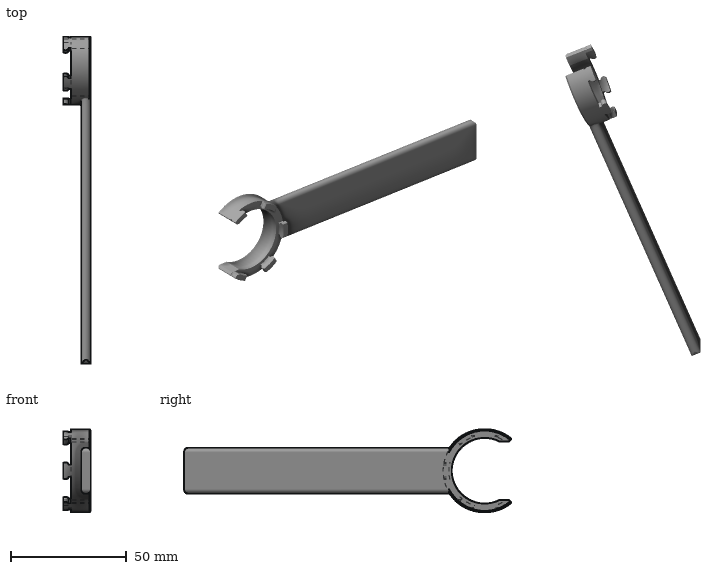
import cadquery as cq
import math

total_length = 141.4
total_depth = 12.0
outer_radius = 18.02

inner_radius = 14.1
ring_tip_y = 11.5
mouth_half_width = 12.6
ring_depth = 8.6
tip_chamfer = 1.0
back_chamfer = 0.7

tooth_inner_radius = 15.5
tooth_pitch = 60
tooth_count = 5
neck_half_width = 2.7
head_half_width = 3.7
tip_half_width = 3.3
head_peak_x = 1.1
head_end_x = 2.4

handle_thickness = 4.2
handle_half_width = 10.0
handle_root_y = -13.5
root_fillet = 0.4

ring_front_x = total_depth - ring_depth
handle_front_x = total_depth - handle_thickness
handle_end_y = ring_tip_y - total_length
handle_round = handle_thickness / 2


def disc(radius, start_x, depth):
    """Solid cylinder about the X axis."""
    return cq.Workplane("YZ", origin=(start_x, 0, 0)).circle(radius).extrude(depth)


def make_open_ring():
    """Full-depth C-shaped band with parallel flats at the mouth and chamfered tips."""
    band = disc(outer_radius, 0, total_depth).faces(">X").edges().chamfer(back_chamfer)
    band = band.cut(disc(inner_radius, 0, total_depth))
    mouth = cq.Workplane("XY").box(
        total_depth, outer_radius, 2 * mouth_half_width, centered=(False, False, True)
    )
    beyond_tips = cq.Workplane("XY", origin=(0, ring_tip_y, 0)).box(
        total_depth, outer_radius, 2 * outer_radius, centered=(False, False, True)
    )
    band = band.cut(mouth).cut(beyond_tips)
    for side in (-1, 1):
        corner = (total_depth / 2, ring_tip_y, side * mouth_half_width)
        band = band.edges(cq.selectors.NearestToPointSelector(corner)).chamfer(tip_chamfer)
    return band


def make_tooth(angle):
    """Round-headed tooth pointing to -X, turned about the ring axis from the handle side."""
    tooth = (
        cq.Workplane("XZ")
        .moveTo(0, -tip_half_width)
        .lineTo(0, tip_half_width)
        .threePointArc((head_peak_x, head_half_width), (head_end_x, neck_half_width))
        .lineTo(ring_front_x, neck_half_width)
        .lineTo(ring_front_x, -neck_half_width)
        .lineTo(head_end_x, -neck_half_width)
        .threePointArc((head_peak_x, -head_half_width), (0, -tip_half_width))
        .close().extrude(outer_radius)
    )
    return tooth.rotate((0, 0, 0), (1, 0, 0), angle)


def make_teeth(open_ring):
    """All teeth, trimmed to the outer part of the band."""
    tooth_zone = open_ring.cut(disc(tooth_inner_radius, 0, ring_front_x))
    first_angle = -tooth_pitch * (tooth_count - 1) / 2
    teeth = make_tooth(first_angle)
    for index in range(1, tooth_count):
        teeth = teeth.union(make_tooth(first_angle + index * tooth_pitch))
    return teeth.intersect(tooth_zone)


def make_handle():
    """Flat bar with full-round long sides and rounded end corners meeting in mitres."""
    length = handle_root_y - handle_end_y
    blank = (
        cq.Workplane("XY", origin=(handle_front_x, handle_end_y, 0))
        .box(handle_thickness, length, 2 * handle_half_width, centered=(False, False, True))
        .faces("<Y").edges("|X").fillet(handle_round)
    )
    half_flat = handle_half_width - handle_round
    middle_x = handle_front_x + handle_round
    rounded_bar = (
        cq.Workplane("XZ", origin=(0, handle_root_y, 0))
        .moveTo(handle_front_x, -half_flat)
        .lineTo(handle_front_x, half_flat)
        .threePointArc((middle_x, handle_half_width), (total_depth, half_flat))
        .lineTo(total_depth, -half_flat)
        .threePointArc((middle_x, -handle_half_width), (handle_front_x, -half_flat))
        .close().extrude(length)
    )
    return rounded_bar.intersect(blank).cut(disc(inner_radius, 0, total_depth))


def fillet_root(body):
    """Fillet where the rounded handle meets the outside of the ring."""
    middle_x = handle_front_x + handle_round
    half_flat = handle_half_width - handle_round
    side_x = middle_x - handle_round * math.sqrt(0.5)
    side_z = half_flat + handle_round * math.sqrt(0.5)
    side_y = -math.sqrt(outer_radius**2 - side_z**2)
    root_points = [(handle_front_x, -outer_radius, 0)]
    for side in (-1, 1):
        root_points.append((side_x, side_y, side * side_z))
    root_edges = body.newObject([])
    for point in root_points:
        root_edges = root_edges.add(body.edges(cq.selectors.NearestToPointSelector(point)))
    return root_edges.fillet(root_fillet)


open_ring = make_open_ring()
ring_body = open_ring.cut(disc(outer_radius, 0, ring_front_x))
ring_with_handle = fillet_root(ring_body.union(make_handle()))
result = ring_with_handle.union(make_teeth(open_ring))